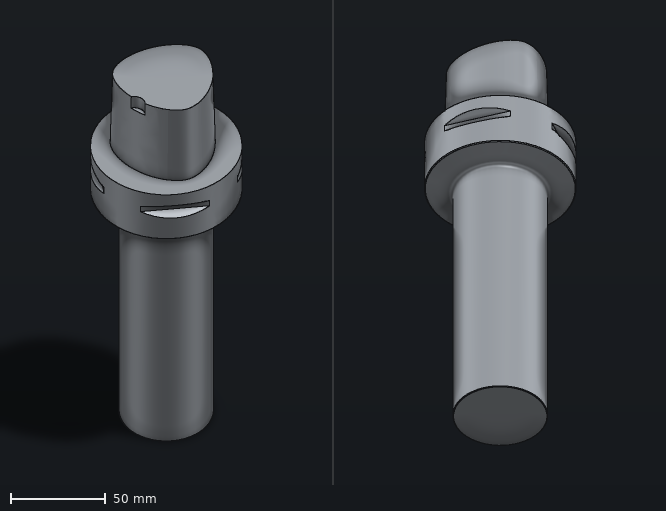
import cadquery as cq
import math

total_length = 233.0
shank_height = 48.0
bottom_z = shank_height - total_length

shank_base_diameter = 55.4
shank_taper = 1 / 20
lobe_eccentricity = 2.0
flat_half_angle = math.radians(27.0)
lobe_count = 3
spline_points = 9

notch_width = 9.6
notch_depth = 2.5
notch_height = 7.8

flange_diameter = 80.0
flange_height = 31.0
flange_edge_chamfer = 0.5
underside_angle = math.radians(15.0)

bar_diameter = 50.0
bar_fillet = 3.0
bar_end_chamfer = 0.4

groove_count = 4
groove_first_angle = 45.0
groove_center_z = -12.0
groove_floor_distance = 35.5
groove_floor_width = 3.5
groove_wall_angle = math.radians(30.0)
groove_overshoot = 1.0


def polygon_point(diameter, normal_angle):
    """Point of the constant-width lobed curve, the angle measured from the -Y direction."""
    support = diameter / 2 - lobe_eccentricity * math.cos(lobe_count * normal_angle)
    slope = lobe_count * lobe_eccentricity * math.sin(lobe_count * normal_angle)
    x = support * math.sin(normal_angle) + slope * math.cos(normal_angle)
    y = slope * math.sin(normal_angle) - support * math.cos(normal_angle)
    return cq.Vector(x, y, 0)


def polygon_wire(diameter, z):
    """Closed outline of alternating flatter sides and rounder noses, tangent where they meet."""
    lobe_angle = 2 * math.pi / lobe_count
    edges = []
    for lobe in range(lobe_count):
        side_start = lobe * lobe_angle - flat_half_angle
        side_end = lobe * lobe_angle + flat_half_angle
        next_side_start = side_start + lobe_angle
        for start, end in ((side_start, side_end), (side_end, next_side_start)):
            step = (end - start) / (spline_points - 1)
            points = [polygon_point(diameter, start + i * step) for i in range(spline_points)]
            tangents = [cq.Vector(math.cos(angle), math.sin(angle), 0) for angle in (start, end)]
            edges.append(cq.Edge.makeSpline(points, tangents))
    return cq.Wire.assembleEdges(edges).translate(cq.Vector(0, 0, z))


def make_shank():
    top_diameter = shank_base_diameter - shank_taper * shank_height
    base_wire = polygon_wire(shank_base_diameter, 0)
    top_wire = polygon_wire(top_diameter, shank_height)
    shank = cq.Workplane(cq.Solid.makeLoft([base_wire, top_wire], True))

    notch_radius = ((notch_width / 2) ** 2 + notch_depth**2) / (2 * notch_depth)
    flat_distance = top_diameter / 2 - lobe_eccentricity
    notch_center_y = -flat_distance + notch_depth - notch_radius
    notch = (
        cq.Workplane("XY")
        .workplane(offset=shank_height - notch_height)
        .center(0, notch_center_y)
        .circle(notch_radius)
        .extrude(notch_height)
    )
    return shank.cut(notch)


def make_flange_and_bar():
    flange_radius = flange_diameter / 2
    bar_radius = bar_diameter / 2
    cone_start_radius = flange_radius - flange_edge_chamfer
    cone_end_z = -flange_height - (cone_start_radius - bar_radius) * math.tan(underside_angle)

    tangent_length = bar_fillet * math.tan((math.pi / 2 - underside_angle) / 2)
    fillet_start = (
        bar_radius + tangent_length * math.cos(underside_angle),
        cone_end_z + tangent_length * math.sin(underside_angle),
    )
    fillet_end = (bar_radius, cone_end_z - tangent_length)
    middle_angle = (math.pi / 2 - underside_angle) / 2
    fillet_middle = (
        bar_radius + bar_fillet * (1 - math.cos(middle_angle)),
        fillet_end[1] + bar_fillet * math.sin(middle_angle),
    )
    return (
        cq.Workplane("XZ")
        .moveTo(0, 0)
        .lineTo(flange_radius, 0)
        .lineTo(flange_radius, -flange_height + flange_edge_chamfer)
        .lineTo(cone_start_radius, -flange_height)
        .lineTo(*fillet_start)
        .threePointArc(fillet_middle, fillet_end)
        .lineTo(bar_radius, bottom_z + bar_end_chamfer)
        .lineTo(bar_radius - bar_end_chamfer, bottom_z)
        .lineTo(0, bottom_z)
        .close()
        .revolve(360, (0, 0, 0), (0, 1, 0))
    )


def make_groove(angle):
    """Straight trapezoidal cutter that widens outward, turned about the axis."""
    floor_half = groove_floor_width / 2
    outer_distance = flange_diameter / 2 + groove_overshoot
    outer_half = floor_half + (outer_distance - groove_floor_distance) * math.tan(groove_wall_angle)
    return (
        cq.Workplane("XZ")
        .moveTo(groove_floor_distance, groove_center_z - floor_half)
        .lineTo(outer_distance, groove_center_z - outer_half)
        .lineTo(outer_distance, groove_center_z + outer_half)
        .lineTo(groove_floor_distance, groove_center_z + floor_half)
        .close()
        .extrude(flange_diameter / 2, both=True)
        .rotate((0, 0, 0), (0, 0, 1), angle)
    )


result = make_flange_and_bar().union(make_shank())
for groove in range(groove_count):
    result = result.cut(make_groove(groove_first_angle + groove * 360 / groove_count))